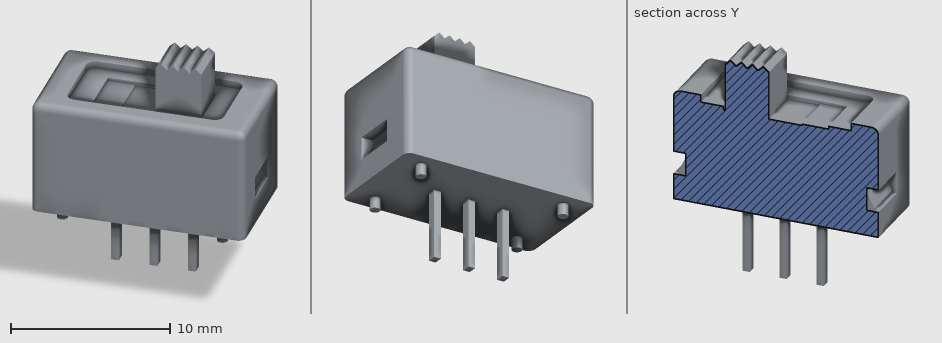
import cadquery as cq

body_length = 14.0
body_width = 7.8
body_height = 7.66
edge_radius = 0.5

recess_length = 10.25
recess_width = 5.15
recess_depth = 0.5
recess_corner_radius = 0.61
window_length = 7.16
window_width = 3.25
window_depth = 0.2

seat_left = -1.76
seat_right = 3.53
seat_width = 3.1
seat_depth = 0.09

knob_left = 0.49
knob_length = 3.0
knob_width = 3.0
knob_rise = 2.81
tooth_count = 4
tooth_height = 0.33

pocket_width = 3.02
pocket_bottom = 1.78
pocket_height = 1.55
pocket_depth = 0.8
catch_width = 2.85
catch_setback = 0.3
catch_lip_height = 0.2
catch_height = 1.22

overall_height = 15.2
pin_length = overall_height - body_height - knob_rise
pin_size_x = 0.5
pin_size_y = 0.64
pin_pitch = 2.52
pin_count = 3
post_diameter = 0.68
post_length = 0.79
post_spacing_x = 10.49
post_spacing_y = 5.47

recess_floor = body_height - recess_depth
window_floor = recess_floor - window_depth
seat_floor = window_floor - seat_depth


def make_body():
    block = cq.Workplane("XY").box(body_length, body_width, body_height, centered=(True, True, False))
    block = block.edges("|Z or >Z").fillet(edge_radius)
    recess = (
        cq.Workplane("XY", origin=(0, 0, recess_floor))
        .rect(recess_length, recess_width)
        .extrude(recess_depth)
        .edges("|Z")
        .fillet(recess_corner_radius)
    )
    window = (
        cq.Workplane("XY", origin=(0, 0, window_floor))
        .rect(window_length, window_width)
        .extrude(window_depth)
    )
    seat = (
        cq.Workplane("XY", origin=((seat_left + seat_right) / 2, 0, seat_floor))
        .rect(seat_right - seat_left, seat_width)
        .extrude(seat_depth)
    )
    return block.cut(recess).cut(window).cut(seat)


def make_knob():
    tooth_pitch = knob_length / tooth_count
    tip = body_height + knob_rise
    valley = tip - tooth_height
    outline = [(knob_left, seat_floor), (knob_left, valley)]
    for tooth in range(tooth_count):
        start = knob_left + tooth * tooth_pitch
        outline.append((start + tooth_pitch / 2, tip))
        outline.append((start + tooth_pitch, valley))
    outline.append((knob_left + knob_length, seat_floor))
    return cq.Workplane("XZ").polyline(outline).close().extrude(knob_width / 2, both=True)


def make_latch_pocket():
    """Material to remove from the -X end: the pocket less its sloped catch."""
    outer = -body_length / 2
    inner = outer + pocket_depth
    pocket = cq.Workplane("XY", origin=((outer + inner) / 2, 0, pocket_bottom))
    pocket = pocket.rect(pocket_depth, pocket_width).extrude(pocket_height)
    catch_front = outer + catch_setback
    catch = (
        cq.Workplane("XZ")
        .polyline([
            (inner, pocket_bottom),
            (catch_front, pocket_bottom),
            (catch_front, pocket_bottom + catch_lip_height),
            (inner, pocket_bottom + catch_height),
        ])
        .close()
        .extrude(catch_width / 2, both=True)
    )
    return pocket.cut(catch)


def make_pins():
    pins = cq.Workplane("XY").rarray(pin_pitch, pin_pitch, pin_count, 1)
    return pins.rect(pin_size_x, pin_size_y).extrude(-pin_length)


def make_posts():
    posts = cq.Workplane("XY").rarray(post_spacing_x, post_spacing_y, 2, 2)
    return posts.circle(post_diameter / 2).extrude(-post_length)


latch_pocket = make_latch_pocket()
body = make_body().cut(latch_pocket).cut(latch_pocket.mirror("YZ"))
result = body.union(make_knob()).union(make_pins()).union(make_posts())